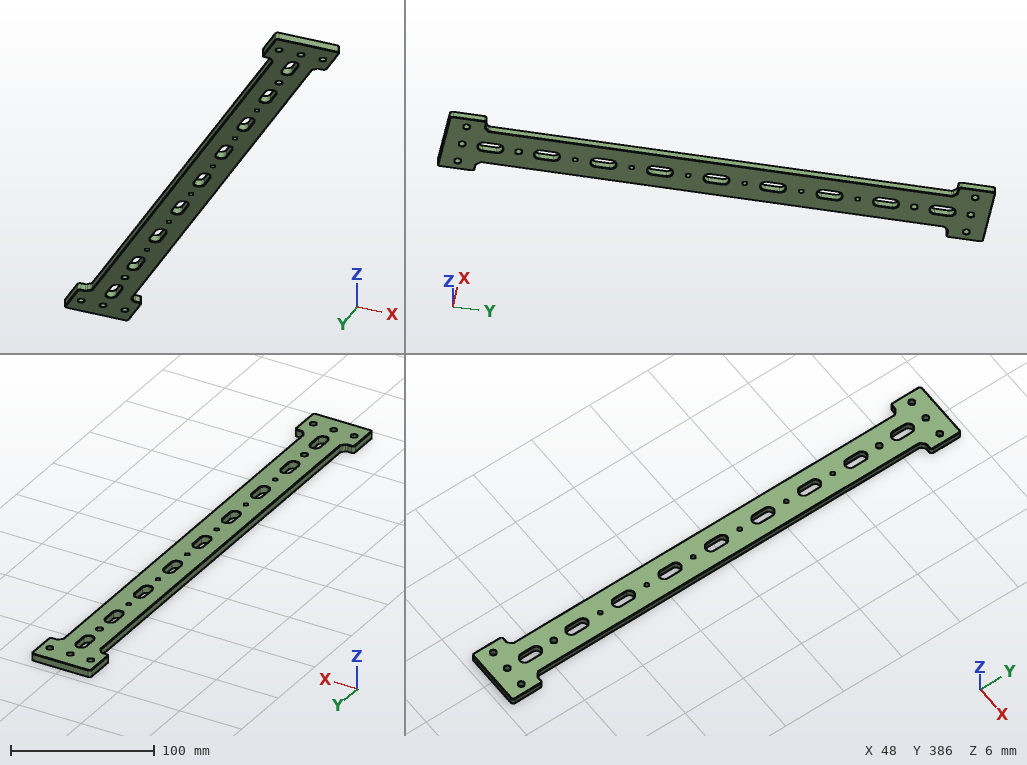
import cadquery as cq
length = 386.02
end_width = 48.0
thickness = 6.0

neck_width = 30.0
pad_length = 26.0
corner_radius = 2.0
neck_chamfer = 3.0
neck_fillet_radius = 2.0

slot_count = 9
slot_pitch = 40.0
slot_width = 7.5
slot_length = 17.5

mount_hole_diameter = 4.5
mount_hole_spacing_x = 33.0
pilot_hole_diameter = 3.33
pilot_hole_count = 6

edge_chamfer = 0.5
mount_hole_chamfer = 0.25

slot_half_span = (slot_count - 1) / 2 * slot_pitch
inner_mount_y = slot_half_span - slot_pitch / 2
outer_mount_y = slot_half_span + slot_pitch / 2


def neck_corner_edges(blank, margin):
    """Vertical edges within a margin of the four corners where bar meets pads."""
    reach_x = neck_width / 2 + margin
    reach_y = length / 2 - pad_length + margin
    near_neck = cq.selectors.BoxSelector(
        (-reach_x, -reach_y, -thickness),
        (reach_x, reach_y, thickness),
    )
    vertical = cq.selectors.ParallelDirSelector(cq.Vector(0, 0, 1))
    return blank.edges(vertical & near_neck)


def plate_blank():
    """I-shaped plate with rounded pad corners and blended neck corners."""
    bar = cq.Workplane("XY").box(neck_width, length, thickness)
    pad_center_y = (length - pad_length) / 2
    pads = (
        cq.Workplane("XY")
        .pushPoints([(0, -pad_center_y), (0, pad_center_y)])
        .box(end_width, pad_length, thickness)
    )
    blank = bar.union(pads)

    pad_corners = cq.selectors.BoxSelector(
        (-neck_width / 2 - 1, -length, -thickness),
        (neck_width / 2 + 1, length, thickness),
    )
    vertical = cq.selectors.ParallelDirSelector(cq.Vector(0, 0, 1))
    blank = blank.edges(vertical - pad_corners).fillet(corner_radius)
    blank = neck_corner_edges(blank, 1).chamfer(neck_chamfer)
    return neck_corner_edges(blank, neck_chamfer + 1).fillet(neck_fillet_radius)


def through_slots():
    """Row of obround cutters, long side along Y."""
    return (
        cq.Workplane("XY")
        .rarray(1, slot_pitch, 1, slot_count)
        .slot2D(slot_length, slot_width, 90)
        .extrude(thickness / 2, both=True)
    )


def through_holes(points, diameter):
    """Round cutters through the full thickness."""
    return (
        cq.Workplane("XY")
        .pushPoints(points)
        .circle(diameter / 2)
        .extrude(thickness / 2, both=True)
    )


def hole_chamfers(points, diameter, size):
    """Conical cutters that break both rims of each hole."""
    radius = diameter / 2
    profile = [
        (0, thickness / 2),
        (radius + size, thickness / 2),
        (radius, thickness / 2 - size),
        (0, thickness / 2 - size),
    ]
    top_cone = cq.Workplane("XZ").polyline(profile).close().revolve(360, (0, 0), (0, 1))
    cones = top_cone.union(top_cone.mirror("XY"))
    cutters = cq.Workplane("XY")
    for x, y in points:
        cutters = cutters.add(cones.translate((x, y, 0)))
    return cutters.combine()


mount_points = []
for side in (-1, 1):
    mount_points.append((0, side * inner_mount_y))
    for column in (-1, 0, 1):
        mount_points.append((column * mount_hole_spacing_x / 2, side * outer_mount_y))

first_pilot_y = -(pilot_hole_count - 1) / 2 * slot_pitch
pilot_points = [(0, first_pilot_y + i * slot_pitch) for i in range(pilot_hole_count)]

result = plate_blank().cut(through_slots())
result = result.faces("|Z").edges().chamfer(edge_chamfer)
result = result.cut(through_holes(mount_points, mount_hole_diameter))
result = result.cut(hole_chamfers(mount_points, mount_hole_diameter, mount_hole_chamfer))
result = result.cut(through_holes(pilot_points, pilot_hole_diameter))